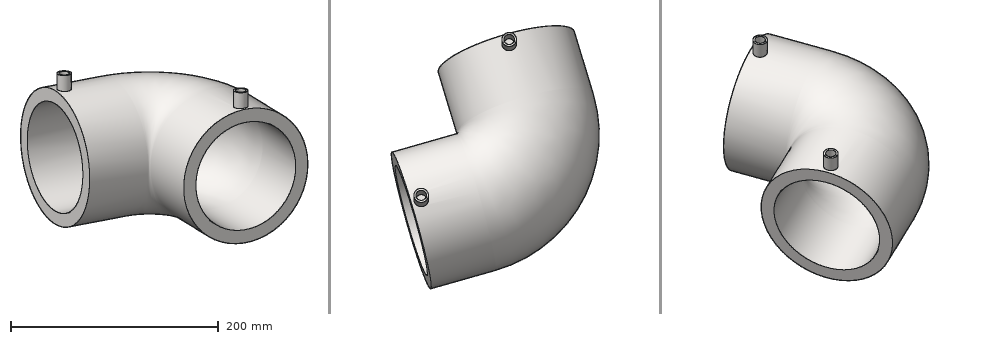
import cadquery as cq

outer_diameter = 137.0
bore_diameter = 110.0
bend_radius = 70.0
socket_length = 65.0

terminal_diameter = 14.0
terminal_hole_diameter = 10.0
terminal_height = 16.0
terminal_end_offset = 10.0
terminal_root = 5.0

crown_z = outer_diameter / 2
terminal_top_z = crown_z + terminal_height
terminal_base_z = crown_z - terminal_root
terminal_position = bend_radius + socket_length - terminal_end_offset


def swept_elbow(diameter):
    """Solid round bar following the elbow centreline, from the -Y end to the +X end.

    The two socket axes cross at the origin.
    """
    socket_y = (
        cq.Workplane("XZ", origin=(0, -bend_radius, 0)).circle(diameter / 2).extrude(socket_length)
    )
    socket_x = (
        cq.Workplane("YZ", origin=(bend_radius, 0, 0)).circle(diameter / 2).extrude(socket_length)
    )
    bend = (
        cq.Workplane("XZ", origin=(0, -bend_radius, 0))
        .circle(diameter / 2)
        .revolve(90, (bend_radius, 1, 0), (bend_radius, 0, 0))
    )
    return socket_y.union(bend).union(socket_x)


def terminal(position):
    """Vertical tube whose lower end is buried in the socket wall."""
    return (
        cq.Workplane("XY", origin=(*position, terminal_base_z))
        .circle(terminal_diameter / 2)
        .circle(terminal_hole_diameter / 2)
        .extrude(terminal_top_z - terminal_base_z)
    )


body = swept_elbow(outer_diameter).cut(swept_elbow(bore_diameter))

for position in [(terminal_position, 0), (0, -terminal_position)]:
    body = body.union(terminal(position))

result = body